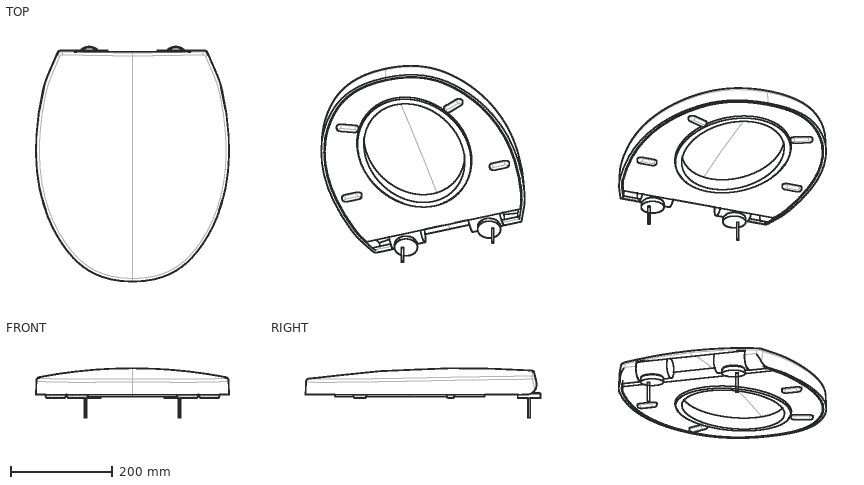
import math

import cadquery as cq


HALF_WIDTH = 191.0
WIDEST_Y = -172.0
FRONT_Y = -441.8
FRONT_BEND = (132.0, -377.0)
REAR_BEND = (173.5, -51.0)
RUNOUT_DIRECTION = (-0.41, 1.0)
REAR_RUNOUT = (141.0, 28.0)
DRAFT = 2.5
LID_TOP = 52.5
DOME_PEAK_Y = -135.5
DOME_CROSS_RADIUS = 975.5
DOME_LENGTH_RADIUS = 2188.0
REAR_LEAN = 13.0
CORNER_RADIUS = 11.5
TOP_EDGE_RADIUS = 6.5
LID_WALL = 5.5

BARREL_RADIUS = 41.5 / 2
BARREL_Y = -5.5
BARREL_INNER_X = 49.2
BARREL_OUTER_X = 114.0
NOTCH_RADIUS = 44.5 / 2
NOTCH_SIDE_GAP = 0.5
NOTCH_HALF_WIDTH = BARREL_OUTER_X + NOTCH_SIDE_GAP
FOOT_RADIUS = 45.5 / 2
FOOT_TOP_RADIUS = 41.5 / 2
FOOT_X = 85.5
FOOT_BOTTOM = -7.0
FOOT_TOP = 3.5
FOOT_BEVEL_HEIGHT = 2.5

BOLT_RADIUS = 4.5 / 2
BOLT_X = 93.0
BOLT_BOTTOM = -46.0
BOLT_TOP = 0.0

SEAT_GAP = 2.0
SEAT_TOP = 18.5
SEAT_REAR_Y = BARREL_Y - NOTCH_RADIUS - SEAT_GAP
LIP_REAR_Y = -87.0
LIP_FRONT_Y = -384.0
LIP_HALF_WIDTH = 110.0
LIP_WIDTH = 14.0
LIP_BOTTOM = -4.0
LIP_TAPER = 20.0

BUFFER_WIDTH = 16.0
BUFFER_BOTTOM = FOOT_BOTTOM
BUFFER_EDGE_RADIUS = 4.5
REAR_BUFFER = ((-164.0, -155.0), (-139.5, -155.0))
FRONT_BUFFER = ((-121.5, -339.5), (-95.5, -329.0))

FAR = 278.5


def half_plan(inset, z):
    """Right half of the lid plan at height z, drawn in by inset; it runs on behind the rear wall."""
    scale_x = 1 - inset / HALF_WIDTH
    scale_y = 1 - inset / (WIDEST_Y - FRONT_Y)

    def place(x, y):
        return (x * scale_x, WIDEST_Y + (y - WIDEST_Y) * scale_y)

    side = [FRONT_BEND, (HALF_WIDTH, WIDEST_Y), REAR_BEND, REAR_RUNOUT]
    tip = place(0, FRONT_Y)
    rear = place(*REAR_RUNOUT)
    return (
        cq.Workplane("XY", origin=(0, 0, z))
        .moveTo(*tip)
        .spline([place(x, y) for x, y in side], tangents=[(1, 0), RUNOUT_DIRECTION], includeCurrent=True)
        .lineTo(0, rear[1])
        .close()
        .wire()
        .val()
    )


def drafted_block(inset):
    """Right half of the lid plan, carried up from the rim with leaning sides."""
    levels = (0, 2 * LID_TOP)
    lean = math.tan(math.radians(DRAFT))
    return cq.Workplane(cq.Solid.makeLoft([half_plan(inset + z * lean, z) for z in levels], True))


def dome(drop):
    """Everything below the doubly curved crown, which is lowered by drop."""
    top = LID_TOP - drop
    edge = top - DOME_CROSS_RADIUS + math.sqrt(DOME_CROSS_RADIUS**2 - FAR**2)
    axis_z = LID_TOP - DOME_LENGTH_RADIUS
    half_angle = 15.0
    section = (
        cq.Workplane("XZ", origin=(0, DOME_PEAK_Y, 0))
        .moveTo(-FAR, -FAR)
        .lineTo(FAR, -FAR)
        .lineTo(FAR, edge)
        .threePointArc((0, top), (-FAR, edge))
        .close()
    )
    swept = section.revolve(2 * half_angle, (-4.5, axis_z, 0), (4.5, axis_z, 0))
    return swept.rotate((-4.5, DOME_PEAK_Y, axis_z), (4.5, DOME_PEAK_Y, axis_z), -half_angle)


def rear_wall_foot():
    """Point (Y, Z) where the leaning rear wall meets the round below it, and the slope of the wall."""
    lean = math.radians(REAR_LEAN)
    touch_y = BARREL_Y + BARREL_RADIUS * math.cos(lean)
    touch_z = BARREL_RADIUS + BARREL_RADIUS * math.sin(lean)
    return touch_y, touch_z, math.tan(lean)


def leaning_trim(inset):
    """Everything in front of the leaning rear wall."""
    wall_y, wall_z, slope = rear_wall_foot()
    wall_y -= inset
    return (
        cq.Workplane("YZ")
        .moveTo(2 * FRONT_Y, -FAR)
        .lineTo(wall_y + slope * (wall_z + FAR), -FAR)
        .lineTo(wall_y - slope * (FAR - wall_z), FAR)
        .lineTo(2 * FRONT_Y, FAR)
        .close()
        .extrude(FAR)
    )


def round_trim(inset):
    """Everything in front of the round that joins the rear wall to the rim."""
    wall_y, wall_z, _ = rear_wall_foot()
    middle = math.radians((REAR_LEAN - 90) / 2)
    return (
        cq.Workplane("YZ")
        .moveTo(2 * FRONT_Y, 0)
        .lineTo(BARREL_Y, 0)
        .threePointArc(
            (BARREL_Y + BARREL_RADIUS * math.cos(middle), BARREL_RADIUS * (1 + math.sin(middle))),
            (wall_y, wall_z),
        )
        .lineTo(FAR, wall_z)
        .lineTo(FAR, FAR)
        .lineTo(2 * FRONT_Y, FAR)
        .close()
        .extrude(FAR)
        .translate((0, -inset, 0))
    )


def lid_form(inset):
    """Right half of the lid before the rear edge is rounded below; a smaller copy when inset."""
    return drafted_block(inset).intersect(dome(inset)).intersect(leaning_trim(inset))


def axis_cylinder(radius, start_x, end_x):
    """Cylinder along the hinge axis."""
    return (
        cq.Workplane("YZ", origin=(start_x, BARREL_Y, BARREL_RADIUS)).circle(radius).extrude(end_x - start_x)
    )


def hinge_notch():
    """Room for the hinge barrels, kept under the roof of the lid."""
    return axis_cylinder(NOTCH_RADIUS, -NOTCH_HALF_WIDTH, NOTCH_HALF_WIDTH).intersect(dome(LID_WALL))


def with_mirror_image(half):
    """Join a right half and its mirror image."""
    return half.union(half.mirror("YZ"), clean=False)


def make_lid():
    """Domed shell with rounded rear corners and a rounded top edge."""
    half = lid_form(0)
    corner = cq.selectors.BoxSelector((BARREL_OUTER_X, 0, 0), (FAR, FAR, LID_TOP))
    half = half.edges(corner).fillet(CORNER_RADIUS)
    half = half.faces(">Z").edges("not <X").fillet(TOP_EDGE_RADIUS)
    hollow = lid_form(LID_WALL).intersect(round_trim(LID_WALL))
    half = half.intersect(round_trim(0)).cut(hollow).cut(hinge_notch())
    return with_mirror_image(half)


def make_seat():
    """Flat ring inside the lid, with a lip below around its opening."""
    space = cq.Workplane("XY").box(FAR, SEAT_REAR_Y - 2 * FRONT_Y, SEAT_TOP, centered=False)
    half = drafted_block(LID_WALL + SEAT_GAP).intersect(space.translate((0, 2 * FRONT_Y, 0)))
    body = with_mirror_image(half)
    lip_y = (LIP_REAR_Y + LIP_FRONT_Y) / 2
    half_length = (LIP_REAR_Y - LIP_FRONT_Y) / 2
    lip = (
        cq.Workplane("XY", origin=(0, lip_y, 0))
        .ellipse(LIP_HALF_WIDTH, half_length)
        .extrude(LIP_BOTTOM, taper=LIP_TAPER)
    )
    opening = (
        cq.Workplane("XY", origin=(0, lip_y, LIP_BOTTOM))
        .ellipse(LIP_HALF_WIDTH - LIP_WIDTH, half_length - LIP_WIDTH)
        .extrude(SEAT_TOP - LIP_BOTTOM)
    )
    return body.union(lip).cut(opening)


def make_buffer(ends):
    """Long pad under the seat with round ends and a rounded lower edge."""
    (outer_x, outer_y), (inner_x, inner_y) = ends
    run_x = inner_x - outer_x
    run_y = inner_y - outer_y
    length = math.hypot(run_x, run_y) + BUFFER_WIDTH
    return (
        cq.Workplane("XY")
        .slot2D(length, BUFFER_WIDTH)
        .extrude(BUFFER_BOTTOM)
        .faces("<Z")
        .edges()
        .fillet(BUFFER_EDGE_RADIUS)
        .rotate((0, 0, 0), (0, 0, 1), math.degrees(math.atan2(run_y, run_x)))
        .translate((outer_x + run_x / 2, outer_y + run_y / 2, 0))
    )


def make_hinge():
    """Barrel, trimmed under the roof of the lid, on a round foot, with a blind hole for the bolt."""
    roof_gap = NOTCH_RADIUS - BARREL_RADIUS
    barrel = axis_cylinder(BARREL_RADIUS, BARREL_INNER_X, BARREL_OUTER_X)
    barrel = barrel.intersect(dome(LID_WALL + roof_gap))
    foot = (
        cq.Workplane("XZ")
        .lineTo(FOOT_RADIUS, 0)
        .lineTo(FOOT_RADIUS, FOOT_TOP - FOOT_BOTTOM - FOOT_BEVEL_HEIGHT)
        .lineTo(FOOT_TOP_RADIUS, FOOT_TOP - FOOT_BOTTOM)
        .lineTo(0, FOOT_TOP - FOOT_BOTTOM)
        .close()
        .revolve(360, (0, 0), (0, 1))
        .translate((FOOT_X, 0, FOOT_BOTTOM))
    )
    return barrel.union(foot).cut(make_bolt())


def make_bolt():
    """Thin rod whose upper end sits in the hinge foot."""
    return (
        cq.Workplane("XY", origin=(BOLT_X, 0, BOLT_BOTTOM)).circle(BOLT_RADIUS).extrude(BOLT_TOP - BOLT_BOTTOM)
    )


def both_sides(body):
    """The solid of a body and that of its mirror image."""
    return [body.solids().val(), body.mirror("YZ").solids().val()]


lid = make_lid()
seat = make_seat()
hinges = both_sides(make_hinge())
bolts = both_sides(make_bolt())
buffers = []
for buffer_ends in (REAR_BUFFER, FRONT_BUFFER):
    buffers += both_sides(make_buffer(buffer_ends))

result = cq.Compound.makeCompound([lid.solids().val(), seat.solids().val(), *hinges, *bolts, *buffers])